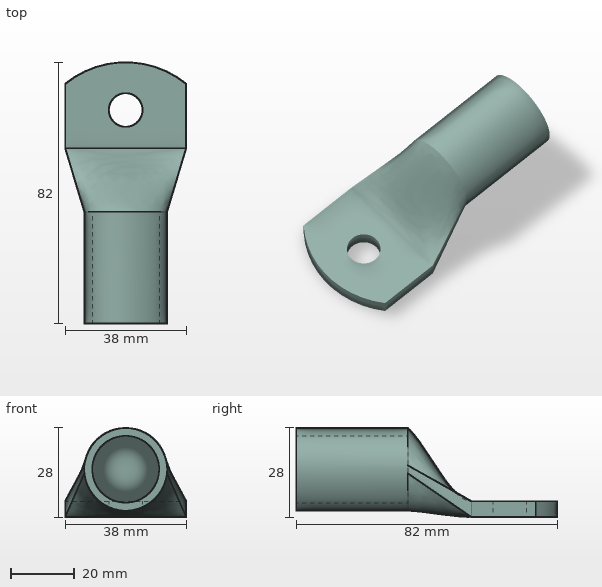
import cadquery as cq
import math

BARREL_DIAMETER = 26.0
BORE_DIAMETER = 21.0
BARREL_LENGTH = 35.0
BORE_DEPTH = BARREL_LENGTH

OVERALL_LENGTH = 82.0
OVERALL_HEIGHT = 28.0
PALM_WIDTH = 38.0
PALM_THICKNESS = 5.0
PALM_END_RADIUS = 30.0
BOLT_HOLE_DIAMETER = 10.5
BOLT_HOLE_Y = 67.0

NECK_LENGTH = 20.0
NECK_SIDE_HEIGHT = 2.5
TOP_END_SLOPE = 0.92
BOTTOM_END_SLOPE = 0.05
NECK_STATIONS = 6
SECTION_STEPS = 8

BARREL_RADIUS = BARREL_DIAMETER / 2
BARREL_AXIS_Z = OVERALL_HEIGHT - BARREL_RADIUS
PALM_HALF_WIDTH = PALM_WIDTH / 2
PALM_START_Y = BARREL_LENGTH + NECK_LENGTH
PALM_END_SAGITTA = PALM_END_RADIUS - math.sqrt(PALM_END_RADIUS**2 - PALM_HALF_WIDTH**2)
SIDE_ANGLE = math.asin(NECK_SIDE_HEIGHT / 2 / BARREL_RADIUS)


def cylinder_on_barrel_axis(diameter, length):
    """Solid cylinder on the barrel's axis, running in +Y from Y = 0."""
    origin = cq.Vector(0, 0, BARREL_AXIS_Z)
    return cq.Workplane(cq.Solid.makeCylinder(diameter / 2, length, origin, cq.Vector(0, 1, 0)))


def make_palm():
    """Plate with a rounded far end and the bolt hole."""
    shoulder_y = OVERALL_LENGTH - PALM_END_SAGITTA
    plate = (
        cq.Workplane("XY")
        .moveTo(-PALM_HALF_WIDTH, PALM_START_Y)
        .lineTo(PALM_HALF_WIDTH, PALM_START_Y)
        .lineTo(PALM_HALF_WIDTH, shoulder_y)
        .threePointArc((0, OVERALL_LENGTH), (-PALM_HALF_WIDTH, shoulder_y))
        .close()
        .extrude(PALM_THICKNESS)
    )
    hole = cq.Workplane("XY").center(0, BOLT_HOLE_Y).circle(BOLT_HOLE_DIAMETER / 2).extrude(PALM_THICKNESS)
    return plate.cut(hole)


def barrel_point(angle):
    """Point on the barrel's outer circle at the neck, with the angle measured from +X towards +Z."""
    x = BARREL_RADIUS * math.cos(angle)
    z = BARREL_AXIS_Z + BARREL_RADIUS * math.sin(angle)
    return cq.Vector(x, BARREL_LENGTH, z)


def barrel_arc(start_angle, end_angle):
    """Arc of the barrel's outer circle at the neck."""
    middle_angle = (start_angle + end_angle) / 2
    return cq.Edge.makeThreePointArc(
        barrel_point(start_angle), barrel_point(middle_angle), barrel_point(end_angle)
    )


def centreline_offset(t, rise, end_slope):
    """Height of a neck centreline above its straight chord, at fraction t from palm to barrel.

    The centreline is a cubic that leaves the palm level and meets the barrel at end_slope.
    """
    cubic = rise * (3 * t**2 - 2 * t**3) + end_slope * NECK_LENGTH * (t**3 - t**2)
    return cubic - rise * t


def neck_edge(t, side):
    """Curve across one side of the neck, at fraction t from palm to barrel."""
    palm_start, palm_end, start_angle, end_angle, rise, end_slope = side
    points = []
    for step in range(SECTION_STEPS + 1):
        u = step / SECTION_STEPS
        on_palm = palm_start + (palm_end - palm_start) * u
        on_barrel = barrel_point(start_angle + (end_angle - start_angle) * u)
        offset = centreline_offset(t, rise, end_slope) * math.sin(math.pi * u)
        points.append(on_palm + (on_barrel - on_palm) * t + cq.Vector(0, 0, offset))
    return cq.Edge.makeSpline(points)


def neck_sides():
    """Palm corners, barrel angles, centreline rise and end slope of the right, top, left and bottom sides."""
    right_bottom = cq.Vector(PALM_HALF_WIDTH, PALM_START_Y, 0)
    right_top = cq.Vector(PALM_HALF_WIDTH, PALM_START_Y, PALM_THICKNESS)
    left_top = cq.Vector(-PALM_HALF_WIDTH, PALM_START_Y, PALM_THICKNESS)
    left_bottom = cq.Vector(-PALM_HALF_WIDTH, PALM_START_Y, 0)
    top_rise = OVERALL_HEIGHT - PALM_THICKNESS
    bottom_rise = OVERALL_HEIGHT - BARREL_DIAMETER
    left_low_angle = math.pi + SIDE_ANGLE
    right_low_angle = 2 * math.pi - SIDE_ANGLE
    return [
        (right_bottom, right_top, -SIDE_ANGLE, SIDE_ANGLE, 0, 0),
        (right_top, left_top, SIDE_ANGLE, math.pi - SIDE_ANGLE, top_rise, TOP_END_SLOPE),
        (left_top, left_bottom, math.pi - SIDE_ANGLE, left_low_angle, 0, 0),
        (left_bottom, right_bottom, left_low_angle, right_low_angle, bottom_rise, BOTTOM_END_SLOPE),
    ]


def make_neck():
    """Solid lofted from the palm's rectangular end to the barrel's circular end."""
    sides = neck_sides()
    palm_edges = [cq.Edge.makeLine(side[0], side[1]) for side in sides]
    sections = [cq.Wire.assembleEdges(palm_edges)]
    for station in range(1, NECK_STATIONS):
        t = station / NECK_STATIONS
        sections.append(cq.Wire.assembleEdges([neck_edge(t, side) for side in sides]))
    barrel_arcs = [barrel_arc(side[2], side[3]) for side in sides]
    sections.append(cq.Wire.assembleEdges(barrel_arcs))
    return cq.Workplane(cq.Solid.makeLoft(sections))


barrel = cylinder_on_barrel_axis(BARREL_DIAMETER, BARREL_LENGTH)
bore = cylinder_on_barrel_axis(BORE_DIAMETER, BORE_DEPTH)
result = barrel.union(make_neck()).union(make_palm()).cut(bore)